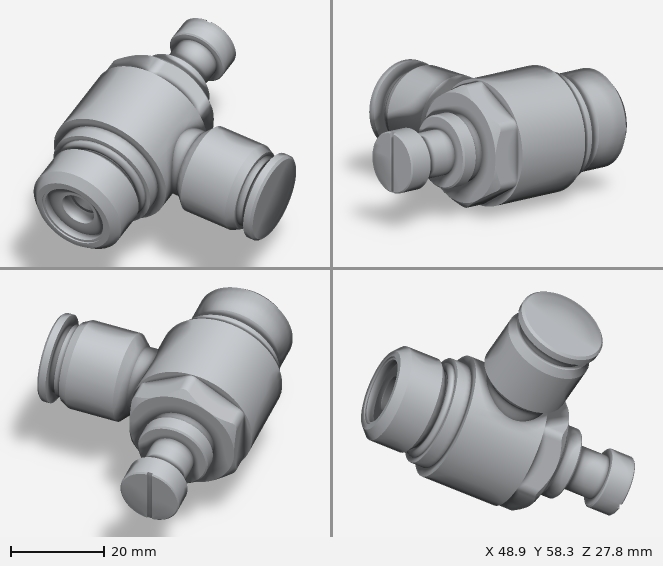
import cadquery as cq
import math


thread_radius = 10.85
thread_chamfer = 1.8
thread_top = 9.3
relief_radius = 8.8
relief_start = thread_top + thread_radius - relief_radius

ring_section_radius = 1.1
ring_outer_radius = thread_radius

collar_bottom = 12.25
collar_radius = 12.0
collar_groove_radius = 11.85
collar_groove_width = 0.25
body_bottom = 15.75
body_diameter = 27.8
body_radius = body_diameter / 2
body_top = 33.35

hex_across_flats = 24.15
hex_corner_fillet = 2.15
hex_top = 39.35
hex_top_radius = hex_across_flats / 2

nut_neck_radius = 7.5
nut_bottom = 41.2
nut_top = 44.85
nut_radius = 8.05
nut_chamfer = 0.35

stem_radius = 5.0
knob_bottom = 52.85
knob_top = 58.3
knob_radius = 6.75
knob_chamfer = 0.3
slot_width = 1.15
slot_depth = 0.5

mouth_radius = 7.75
mouth_depth = 0.35
bore_radius = 7.2
bore_depth = 2.1
hole_diameter = 7.9
hole_radius = hole_diameter / 2
hole_depth = 5.55
inner_hole_radius = 3.2
inner_hole_depth = 8.15

arm_axis_y = 25.8
arm_neck_radius = 7.5
arm_radius = 9.85
arm_cone_start = 15.05
arm_cone_end = arm_cone_start + arm_radius - arm_neck_radius
arm_taper_start = 28.35
arm_shell_end = 30.15
arm_shell_end_radius = 8.9
sleeve_radius = 8.05
sleeve_end = 31.6
release_neck_radius = 7.2
release_start = 32.9
release_fillet = 0.35
overall_width = 48.9
release_end = overall_width - body_radius
release_chamfer = 0.5


def turned_along_y(stations):
    """Solid of revolution about Y from (radius, y) stations."""
    outline = [(0, stations[0][1])] + stations + [(0, stations[-1][1])]
    return cq.Workplane("XY").polyline(outline).close().revolve(360, (0, 0, 0), (0, 1, 0))


def make_screw():
    """Turned stack from the thread to the knob, with a screwdriver slot across the knob."""
    screw = turned_along_y([
        (thread_radius - thread_chamfer, 0),
        (thread_radius, thread_chamfer),
        (thread_radius, thread_top),
        (relief_radius, relief_start),
        (relief_radius, collar_bottom),
        (collar_radius, collar_bottom),
        (collar_radius, body_bottom - collar_groove_width),
        (collar_groove_radius, body_bottom - collar_groove_width),
        (collar_groove_radius, body_bottom),
        (body_radius, body_bottom),
        (body_radius, body_top),
        (nut_neck_radius, body_top),
        (nut_neck_radius, nut_bottom),
        (nut_radius - nut_chamfer, nut_bottom),
        (nut_radius, nut_bottom + nut_chamfer),
        (nut_radius, nut_top - nut_chamfer),
        (nut_radius - nut_chamfer, nut_top),
        (stem_radius, nut_top),
        (stem_radius, knob_bottom),
        (knob_radius - knob_chamfer, knob_bottom),
        (knob_radius, knob_bottom + knob_chamfer),
        (knob_radius, knob_top - knob_chamfer),
        (knob_radius - knob_chamfer, knob_top),
    ])
    slot_length = 2 * knob_radius
    slot = (
        cq.Workplane("XY", origin=(0, knob_top, 0))
        .box(slot_width, 2 * slot_depth, slot_length)
    )
    return screw.cut(slot)


def make_sealing_ring():
    """Round-section ring half sunk into the underside of the collar."""
    path_radius = ring_outer_radius - ring_section_radius
    return (
        cq.Workplane("XY")
        .center(path_radius, collar_bottom)
        .circle(ring_section_radius)
        .revolve(360, (-path_radius, 0, 0), (-path_radius, 1, 0))
    )


def make_hexagon():
    """Hexagon with flats facing +X and -X, rounded corners and a 45 degree turned top."""
    corner_diameter = hex_across_flats / math.cos(math.radians(30))
    height = hex_top - body_top
    hexagon = (
        cq.Workplane("XZ", origin=(0, hex_top, 0))
        .transformed(rotate=(0, 0, 90))
        .polygon(6, corner_diameter)
        .extrude(height)
        .edges("|Y")
        .fillet(hex_corner_fillet)
    )
    cone = turned_along_y([
        (hex_top_radius + height, body_top),
        (hex_top_radius, hex_top),
    ])
    return hexagon.intersect(cone)


def make_arm():
    """Arm turned about its own X axis: neck, tube shell, sleeve and release collar."""
    return (
        cq.Workplane("XY", origin=(0, arm_axis_y, 0))
        .lineTo(0, arm_neck_radius)
        .lineTo(arm_cone_start, arm_neck_radius)
        .lineTo(arm_cone_end, arm_radius)
        .lineTo(arm_taper_start, arm_radius)
        .lineTo(arm_shell_end, arm_shell_end_radius)
        .lineTo(arm_shell_end, sleeve_radius)
        .lineTo(sleeve_end, sleeve_radius)
        .lineTo(sleeve_end, release_neck_radius)
        .lineTo(release_start - release_fillet, release_neck_radius)
        .radiusArc((release_start, release_neck_radius + release_fillet), -release_fillet)
        .lineTo(release_start, arm_radius)
        .lineTo(release_end - release_chamfer, arm_radius)
        .lineTo(release_end, arm_radius - release_chamfer)
        .lineTo(release_end, 0)
        .close()
        .revolve(360, (0, 0, 0), (1, 0, 0))
    )


def make_bore():
    """Stepped cutter entering from the threaded end."""
    return turned_along_y([
        (mouth_radius, 0),
        (mouth_radius, mouth_depth),
        (bore_radius, mouth_depth),
        (bore_radius, bore_depth),
        (hole_radius, bore_depth),
        (hole_radius, hole_depth),
        (inner_hole_radius, hole_depth),
        (inner_hole_radius, inner_hole_depth),
    ])


result = (
    make_screw()
    .union(make_sealing_ring())
    .union(make_hexagon())
    .union(make_arm())
    .cut(make_bore())
)